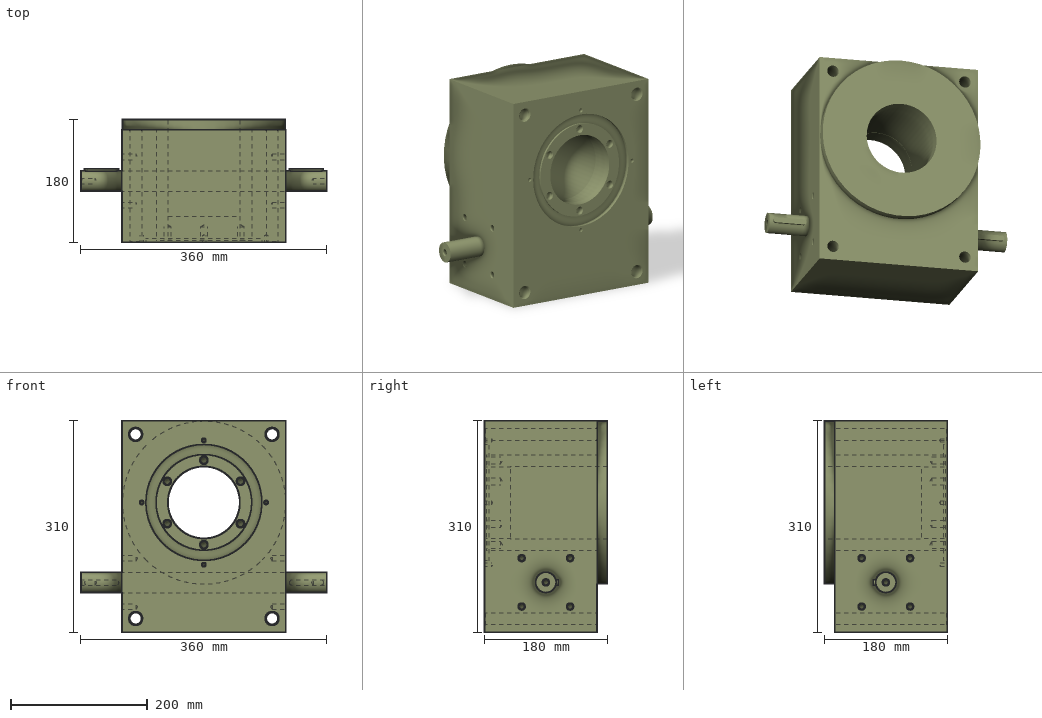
import cadquery as cq
import math

HOUSING_WIDTH = 240.0
HOUSING_DEPTH = 165.0
HOUSING_HEIGHT = 310.0

MOUNT_HOLE_DIAMETER = 17.3
MOUNT_CHAMFER_DIAMETER = 20.0
MOUNT_EDGE_MARGIN = 20.0

HUB_AXIS_Z = 190.0
HUB_DIAMETER = 140.0
HUB_FRONT_Y = 3.0
FLANGE_DIAMETER = 239.0
FLANGE_THICKNESS = 15.0
BORE_FRONT_DIAMETER = 105.0
BORE_REAR_DIAMETER = 106.0
BORE_FRONT_LENGTH = 35.3

HUB_SCREW_COUNT = 6
HUB_SCREW_DIAMETER = 10.0
HUB_SCREW_CHAMFER_DIAMETER = 12.0
HUB_SCREW_CIRCLE_RADIUS = 62.0
HUB_SCREW_DEPTH = 20.0

RECESS_DIAMETER = 170.0
RECESS_DEPTH = 6.0

COVER_SCREW_COUNT = 4
COVER_SCREW_DIAMETER = 5.0
COVER_SCREW_CHAMFER_DIAMETER = 6.0
COVER_SCREW_CIRCLE_RADIUS = 91.0
COVER_SCREW_DEPTH = 10.0

SHAFT_LENGTH = 360.0
SHAFT_DIAMETER = 30.0
SHAFT_AXIS_Y = 90.0
SHAFT_AXIS_Z = 73.0

SIDE_SCREW_DIAMETER = 8.3
SIDE_SCREW_CHAMFER_DIAMETER = 10.0
SIDE_SCREW_DEPTH = 20.0
SIDE_SCREW_SPACING = 71.0

KEY_LENGTH = 50.0
KEY_WIDTH = 8.0
KEY_PROTRUSION = 3.2
KEY_END_GAP = 5.0

DRILL_TIP_ANGLE = 118.0

SIDES = (-1, 1)
AXIS_Y = cq.Vector(0, 1, 0)


def rod_y(diameter, y_start, y_end, x=0.0, z=HUB_AXIS_Z):
    """Cylinder along Y, on the hub axis unless another x and z are given."""
    return cq.Workplane(cq.Solid.makeCylinder(diameter / 2, y_end - y_start, cq.Vector(x, y_start, z), AXIS_Y))


def mouth_chamfer(diameter, chamfer_diameter, mouth, direction):
    """45 degree countersink that narrows from the mouth of a hole to the hole's own diameter."""
    depth = (chamfer_diameter - diameter) / 2
    return cq.Solid.makeCone(chamfer_diameter / 2, diameter / 2, depth, mouth, direction)


def blind_hole(diameter, chamfer_diameter, depth, mouth, direction):
    """Chamfered hole with a conical bottom, cut from its mouth along a unit direction."""
    radius = diameter / 2
    tip_length = radius / math.tan(math.radians(DRILL_TIP_ANGLE / 2))
    barrel = cq.Solid.makeCylinder(radius, depth, mouth, direction)
    tip = cq.Solid.makeCone(radius, 0, tip_length, mouth + direction * depth, direction)
    chamfer = mouth_chamfer(diameter, chamfer_diameter, mouth, direction)
    return cq.Workplane(barrel.fuse(tip, chamfer))


def circle_of_mouths(count, circle_radius, face_y):
    """Hole mouths evenly spaced around the hub axis, the first one straight above it."""
    angles = [2 * math.pi * index / count for index in range(count)]
    return [
        cq.Vector(circle_radius * math.sin(angle), face_y, HUB_AXIS_Z + circle_radius * math.cos(angle))
        for angle in angles
    ]


def cut_mounting_holes(body):
    x_offset = HOUSING_WIDTH / 2 - MOUNT_EDGE_MARGIN
    for x in (-x_offset, x_offset):
        for z in (MOUNT_EDGE_MARGIN, HOUSING_HEIGHT - MOUNT_EDGE_MARGIN):
            body = body.cut(rod_y(MOUNT_HOLE_DIAMETER, 0, HOUSING_DEPTH, x, z))
            mouth = cq.Vector(x, 0, z)
            chamfer = mouth_chamfer(MOUNT_HOLE_DIAMETER, MOUNT_CHAMFER_DIAMETER, mouth, AXIS_Y)
            body = body.cut(cq.Workplane(chamfer))
    return body


def side_screw_hole(mouth, inward):
    return blind_hole(SIDE_SCREW_DIAMETER, SIDE_SCREW_CHAMFER_DIAMETER, SIDE_SCREW_DEPTH, mouth, inward)


def cut_cover_screw_holes(body):
    for mouth in circle_of_mouths(COVER_SCREW_COUNT, COVER_SCREW_CIRCLE_RADIUS, 0):
        hole = blind_hole(
            COVER_SCREW_DIAMETER, COVER_SCREW_CHAMFER_DIAMETER, COVER_SCREW_DEPTH, mouth, AXIS_Y
        )
        body = body.cut(hole)
    return body


def cut_hub_screw_holes(body):
    for mouth in circle_of_mouths(HUB_SCREW_COUNT, HUB_SCREW_CIRCLE_RADIUS, HUB_FRONT_Y):
        hole = blind_hole(HUB_SCREW_DIAMETER, HUB_SCREW_CHAMFER_DIAMETER, HUB_SCREW_DEPTH, mouth, AXIS_Y)
        body = body.cut(hole)
    return body


def cut_side_screw_holes(body):
    offset = SIDE_SCREW_SPACING / 2
    for side in SIDES:
        inward = cq.Vector(-side, 0, 0)
        for y in (SHAFT_AXIS_Y - offset, SHAFT_AXIS_Y + offset):
            for z in (SHAFT_AXIS_Z - offset, SHAFT_AXIS_Z + offset):
                mouth = cq.Vector(side * HOUSING_WIDTH / 2, y, z)
                body = body.cut(side_screw_hole(mouth, inward))
    return body


def shaft_rod(length):
    """Plain cylinder on the shaft axis, centred on X = 0."""
    start = cq.Vector(-length / 2, SHAFT_AXIS_Y, SHAFT_AXIS_Z)
    return cq.Workplane(cq.Solid.makeCylinder(SHAFT_DIAMETER / 2, length, start, cq.Vector(1, 0, 0)))


def make_housing():
    body = cq.Workplane().box(HOUSING_WIDTH, HOUSING_DEPTH, HOUSING_HEIGHT, centered=(True, False, False))
    body = body.cut(rod_y(HUB_DIAMETER, 0, HOUSING_DEPTH))
    body = body.cut(rod_y(RECESS_DIAMETER, 0, RECESS_DEPTH))
    body = body.cut(shaft_rod(HOUSING_WIDTH))
    body = cut_mounting_holes(body)
    body = cut_side_screw_holes(body)
    return cut_cover_screw_holes(body)


def make_output_hub():
    flange_back_y = HOUSING_DEPTH + FLANGE_THICKNESS
    bore_step_y = HUB_FRONT_Y + BORE_FRONT_LENGTH
    hub = rod_y(HUB_DIAMETER, HUB_FRONT_Y, flange_back_y)
    hub = hub.union(rod_y(FLANGE_DIAMETER, HOUSING_DEPTH, flange_back_y))
    hub = hub.cut(rod_y(BORE_FRONT_DIAMETER, HUB_FRONT_Y, bore_step_y))
    hub = hub.cut(rod_y(BORE_REAR_DIAMETER, bore_step_y, flange_back_y))
    return cut_hub_screw_holes(hub)


def make_input_shaft():
    shaft = shaft_rod(SHAFT_LENGTH)
    key_x = SHAFT_LENGTH / 2 - KEY_END_GAP - KEY_LENGTH / 2
    key_height = SHAFT_DIAMETER / 2 + KEY_PROTRUSION
    for side in SIDES:
        key = (
            cq.Workplane("XZ", origin=(side * key_x, SHAFT_AXIS_Y, SHAFT_AXIS_Z))
            .slot2D(KEY_LENGTH, KEY_WIDTH)
            .extrude(-key_height)
        )
        shaft = shaft.union(key)
    for side in SIDES:
        mouth = cq.Vector(side * SHAFT_LENGTH / 2, SHAFT_AXIS_Y, SHAFT_AXIS_Z)
        inward = cq.Vector(-side, 0, 0)
        shaft = shaft.cut(side_screw_hole(mouth, inward))
    return shaft


housing = make_housing()
output_hub = make_output_hub()
input_shaft = make_input_shaft()

result = cq.Compound.makeCompound([housing.val(), output_hub.val(), input_shaft.val()])